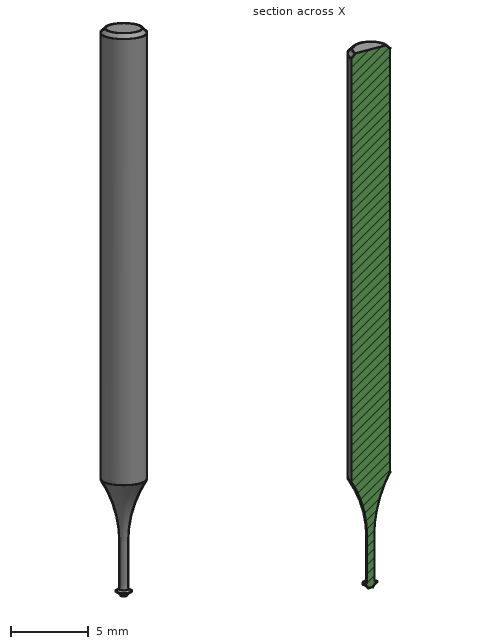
import cadquery as cq
import math

total_length = 38.0
shank_radius = 1.5
neck_radius = 0.293

shank_bottom_z = 7.83
chamfer_height = 0.3
chamfer_width = 0.3

neck_top_z = 3.65

flare_top_z = 0.8
disc_radius = 0.55
disc_z = 0.323
rim_root_radius = 0.32
rim_half_thickness = 0.133
tip_radius = 0.17


def tangent_arc_radius(height, depth):
    """Radius of an arc that starts parallel to the axis and moves outward by depth over height."""
    return (height**2 + depth**2) / (2 * depth)


def arc_midpoint(start_z, end_z, end_radius):
    """Point (radius, z) at mid-height of an arc that leaves the neck tangentially at start_z."""
    height = end_z - start_z
    arc_radius = tangent_arc_radius(height, end_radius - neck_radius)
    rise = arc_radius - math.sqrt(arc_radius**2 - (height / 2) ** 2)
    return (neck_radius + rise, start_z + height / 2)


def half_profile():
    """Closed outline on one side of the tool axis, from the tip upwards."""
    rim_top_z = disc_z + rim_half_thickness
    flare_mid = arc_midpoint(flare_top_z, rim_top_z, rim_root_radius)
    transition_mid = arc_midpoint(neck_top_z, shank_bottom_z, shank_radius)
    return (
        cq.Workplane("XZ")
        .lineTo(tip_radius, 0)
        .lineTo(rim_root_radius, disc_z - rim_half_thickness)
        .lineTo(disc_radius, disc_z)
        .lineTo(rim_root_radius, rim_top_z)
        .threePointArc(flare_mid, (neck_radius, flare_top_z))
        .lineTo(neck_radius, neck_top_z)
        .threePointArc(transition_mid, (shank_radius, shank_bottom_z))
        .lineTo(shank_radius, total_length - chamfer_height)
        .lineTo(shank_radius - chamfer_width, total_length)
        .lineTo(0, total_length)
        .close()
    )


result = half_profile().revolve(360, (0, 0, 0), (0, 1, 0))